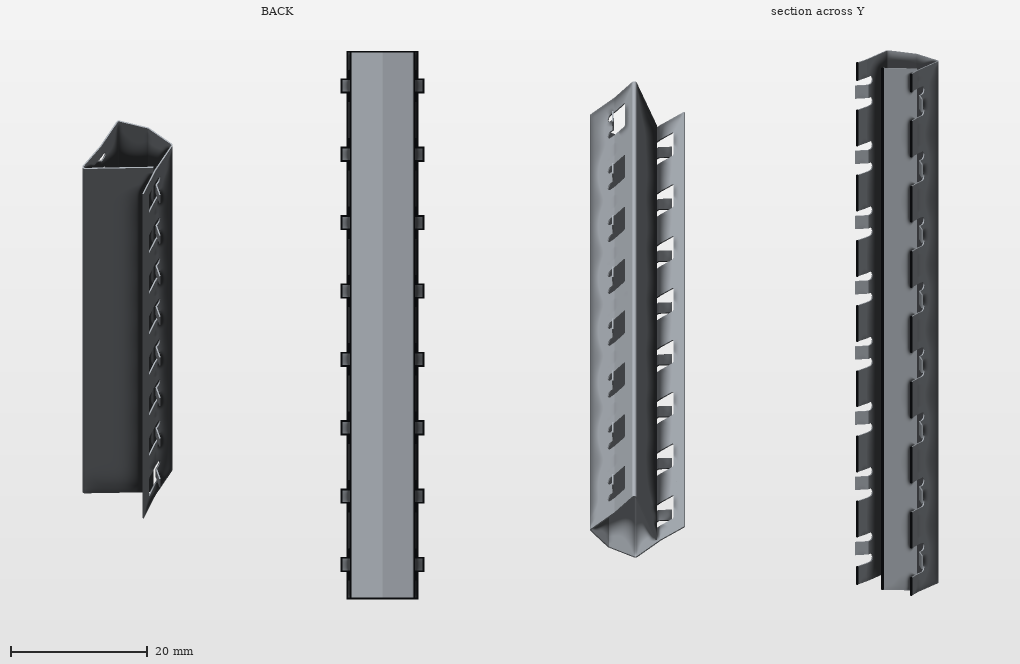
import cadquery as cq
import math

LENGTH = 80.0
DEPTH = 11.11
SPAN_OVER_TABS = 12.0

SHEET = 0.2
BEND_RADIUS = 0.4
BODY_WIDTH = 9.3
ROOF_ANGLE = math.radians(12)
FLARE_ANGLE = math.radians(6.5)
FLAP_ANGLE = math.radians(30)
FLARE_Y = -0.85
FREE_WALL_Y = -5.4
FLAP_END_X = 4.1

WINDOW_COUNT = 8
WINDOW_PITCH = LENGTH / WINDOW_COUNT
WINDOW_HEIGHT = 4.5
WINDOW_BOTTOM_Y = -3.4
WINDOW_CORNER_RADIUS = 0.3
TAB_WIDTH = 2.0
TAB_ROOT_Y = -0.4
TAB_ANGLE = math.radians(45)
RELIEF_DIAMETER = (WINDOW_HEIGHT - TAB_WIDTH) / 2
RELIEF_Y = 0.0
RELIEF_OFFSET = (TAB_WIDTH + RELIEF_DIAMETER) / 2

HALF_WIDTH = BODY_WIDTH / 2
RIDGE_Y = DEPTH / 2 + BEND_RADIUS * (1 / math.cos(ROOF_ANGLE) - 1)
ROOF_EDGE_Y = RIDGE_Y - HALF_WIDTH * math.tan(ROOF_ANGLE)

CUTTER_MARGIN = 0.05
CUTTER_INNER_X = -(HALF_WIDTH - SHEET - CUTTER_MARGIN)
CUTTER_DEPTH = SPAN_OVER_TABS / 2 + CUTTER_INNER_X


def flared_x(y):
    """Distance from the middle plane to the outside of a leaning wall at height y."""
    return HALF_WIDTH + (FLARE_Y - y) * math.tan(FLARE_ANGLE)


def outside_points():
    """Sharp-cornered outside line of the sheet, from the free wall round to the flap edge."""
    fold_half_angle = (math.pi / 2 - FLARE_ANGLE - FLAP_ANGLE) / 2
    fold_bisector = FLAP_ANGLE + fold_half_angle
    fold_center_y = BEND_RADIUS - DEPTH / 2
    fold_y = fold_center_y - BEND_RADIUS * math.sin(fold_bisector) / math.sin(fold_half_angle)
    fold_x = -flared_x(fold_y)
    flap_end_y = fold_y + (FLAP_END_X - fold_x) * math.tan(FLAP_ANGLE)
    return [
        (flared_x(FREE_WALL_Y), FREE_WALL_Y),
        (HALF_WIDTH, FLARE_Y),
        (HALF_WIDTH, ROOF_EDGE_Y),
        (0, RIDGE_Y),
        (-HALF_WIDTH, ROOF_EDGE_Y),
        (-HALF_WIDTH, FLARE_Y),
        (fold_x, fold_y),
        (FLAP_END_X, flap_end_y),
    ]


def inside_points(points):
    """Points offset one sheet thickness to the left of the line, mitred at the bends."""
    headings = [
        math.atan2(end[1] - start[1], end[0] - start[0])
        for start, end in zip(points, points[1:])
    ]
    arriving = headings[:1] + headings
    leaving = headings + headings[-1:]
    offset = []
    for (x, y), before, after in zip(points, arriving, leaving):
        half_turn = math.remainder(after - before, 2 * math.pi) / 2
        normal = before + half_turn + math.pi / 2
        reach = SHEET / math.cos(half_turn)
        offset.append((x + reach * math.cos(normal), y + reach * math.sin(normal)))
    return offset


def round_bend(sheet, point, radius):
    """Round the lengthwise edge that passes through the given profile point."""
    edge = cq.selectors.NearestToPointSelector((point[0], point[1], LENGTH / 2))
    return sheet.edges("|Z").edges(edge).fillet(radius)


def folded_sheet():
    outside = outside_points()
    inside = inside_points(outside)
    sheet = cq.Workplane("XY").polyline(outside + inside[::-1]).close().extrude(LENGTH)
    right_roof_edge, apex, left_roof_edge, fold = 2, 3, 4, 6
    for bend in (right_roof_edge, apex, left_roof_edge, fold):
        sheet = round_bend(sheet, outside[bend], BEND_RADIUS)
        sheet = round_bend(sheet, inside[bend], BEND_RADIUS - SHEET)
    return sheet


def window_cutter(z):
    """Cutter for one left wall window, with round reliefs beside the root of its tab."""
    wall_plane = cq.Plane(
        origin=(CUTTER_INNER_X, RELIEF_Y, z),
        xDir=(0, -1, 0),
        normal=(-1, 0, 0),
    )
    opening_length = RELIEF_Y - WINDOW_BOTTOM_Y
    opening = (
        cq.Workplane(wall_plane)
        .center(opening_length / 2, 0)
        .rect(opening_length, WINDOW_HEIGHT)
        .extrude(CUTTER_DEPTH)
        .edges("|X and <Y")
        .fillet(WINDOW_CORNER_RADIUS)
    )
    reliefs = (
        cq.Workplane(wall_plane)
        .pushPoints([(0, -RELIEF_OFFSET), (0, RELIEF_OFFSET)])
        .circle(RELIEF_DIAMETER / 2)
        .extrude(CUTTER_DEPTH)
    )
    return opening.union(reliefs)


def tab(z):
    """Left wall tab: a strip that continues the wall, then bends outward."""
    tip_y = TAB_ROOT_Y - (SPAN_OVER_TABS / 2 - HALF_WIDTH) / math.tan(TAB_ANGLE)
    outside = [
        (-HALF_WIDTH, RELIEF_Y),
        (-HALF_WIDTH, TAB_ROOT_Y),
        (-SPAN_OVER_TABS / 2, tip_y),
    ]
    inside = inside_points(outside)
    return (
        cq.Workplane("XY", origin=(0, 0, z - TAB_WIDTH / 2))
        .polyline(outside + inside[::-1])
        .close()
        .extrude(TAB_WIDTH)
    )


result = folded_sheet()
for index in range(WINDOW_COUNT):
    window_z = (index + 0.5) * WINDOW_PITCH
    left_window = window_cutter(window_z)
    left_tab = tab(window_z)
    result = result.cut(left_window).cut(left_window.mirror("YZ"))
    result = result.union(left_tab).union(left_tab.mirror("YZ"))